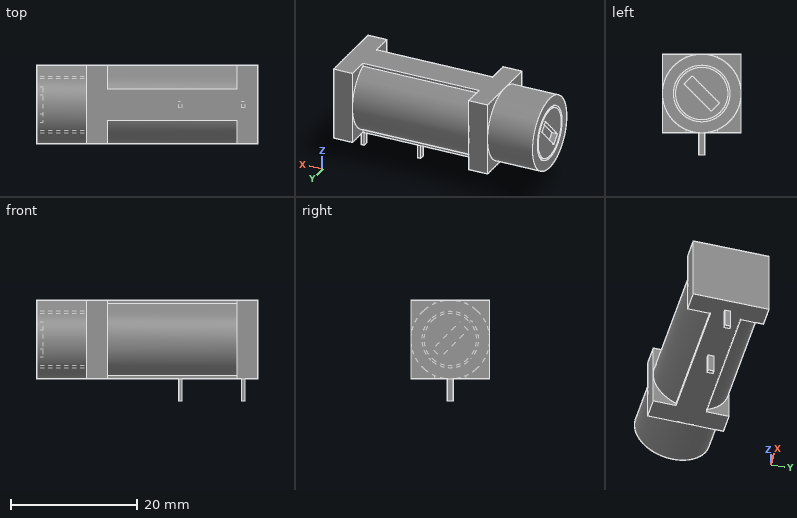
import cadquery as cq

total_length = 35.1
body_size = 12.5
nose_length = 7.95
flange_thickness = 3.35
web_width = 5.0

bore_diameter = 9.0
cap_diameter = 8.32
cap_length = nose_length

slot_length = 6.1
slot_width = 1.83
slot_depth = 1.0
slot_angle = 45.0

pin_thickness = 0.55
pin_width = 1.0
pin_length = 3.5
rear_pin_x = 32.8
pin_pitch = 9.97


def x_cylinder(diameter, start, length):
    """Cylinder on the holder axis, starting at the given X."""
    return cq.Workplane("YZ", origin=(start, 0, 0)).circle(diameter / 2).extrude(length)


def x_block(start, length, width, height):
    """Block centred on the holder axis, starting at the given X."""
    return cq.Workplane("YZ", origin=(start, 0, 0)).rect(width, height).extrude(length)


def make_housing():
    """Barrel with two square flanges, joining webs and a blind bore."""
    barrel = x_cylinder(body_size, 0, total_length)
    front_flange = x_block(nose_length, flange_thickness, body_size, body_size)
    rear_flange = x_block(total_length - flange_thickness, flange_thickness, body_size, body_size)
    webs = x_block(nose_length, total_length - nose_length, web_width, body_size)
    solid = barrel.union(front_flange).union(rear_flange).union(webs)
    bore = x_cylinder(bore_diameter, 0, cap_length)
    return solid.cut(bore)


def make_cap():
    """Round cap, flush with the nose and resting on the bore floor, with a diagonal screwdriver slot."""
    slot = x_block(0, slot_depth, slot_length, slot_width)
    slot = slot.rotate((0, 0, 0), (1, 0, 0), slot_angle)
    return x_cylinder(cap_diameter, 0, cap_length).cut(slot)


def make_pin(x):
    """Flat terminal pin hanging from the underside of the housing."""
    pin_middle_z = -(body_size + pin_length) / 2
    return cq.Workplane("XY").box(pin_thickness, pin_width, pin_length).translate((x, 0, pin_middle_z))


housing = make_housing()
cap = make_cap()
pins = [make_pin(x) for x in (rear_pin_x - pin_pitch, rear_pin_x)]

result = cq.Compound.makeCompound([housing.val(), cap.val(), *[pin.val() for pin in pins]])